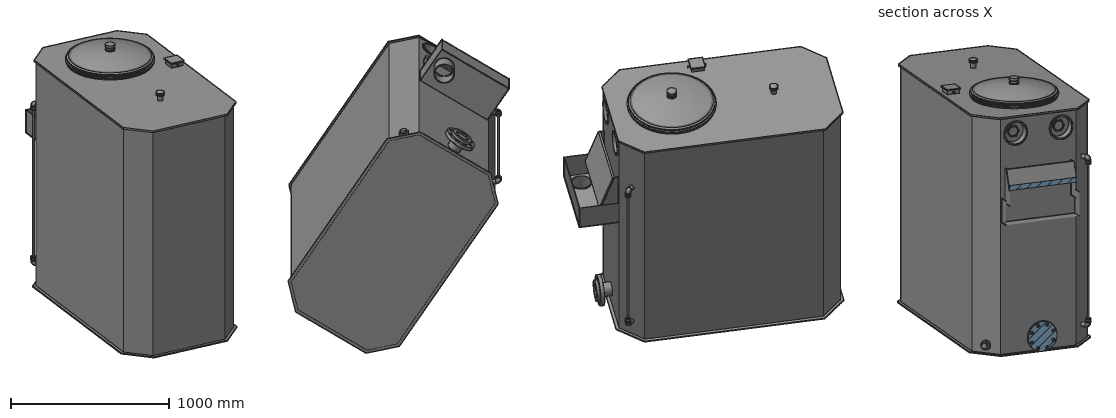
import cadquery as cq
import math

tank_length = 1420.0
tank_width = 790.0
corner_cut = 137.0
base_thickness = 7.0
base_overhang = 20.0
base_corner_cut = 152.0
top_plate_bottom = 1556.0
top_plate_thickness = 12.0
top_plate_overhang = 10.0
top_plate_corner_cut = 139.0
top_plate_shift = 4.0

tank_front_x = -tank_length / 2
top_z = top_plate_bottom + top_plate_thickness
outer_base_x = tank_length / 2 + base_overhang

port_y = 155.0
port_z = 1454.0
port_ring_diameter = 160.0
port_bore = 140.0
port_ring_thickness = 8.0
port_depth = 45.0
port_hex_corners = 81.0
port_hex_height = 10.0
port_hex_bore = 60.3
port_hex_bore_depth = 5.0

nozzle_z = 115.0
nozzle_pipe_diameter = 88.9
nozzle_pipe_length = 60.0
flange_diameter = 200.0
flange_thickness = 24.0
raised_face_diameter = 138.0
raised_face_height = 18.0
nozzle_recess_depth = 10.0
bolt_circle = 160.0
bolt_hole = 18.0
bolt_count = 8

hood_width = 460.0
hood_top_z = 1232.0
hood_bottom_z = 1000.0
hood_top_reach = 37.0
hood_bottom_reach = 122.0
hood_thickness = 13.0
gusset_thickness = 5.0
gusset_inset = 3.0

overall_length = 1695.0
trough_width = 504.0
trough_bottom_z = 876.0
trough_top_z = 1036.0
trough_sheet = 3.0
trough_front_inset = 2.0
trough_front_x = outer_base_x - overall_length
outlet_diameter = 130.0
outlet_bore = 120.0
outlet_x = -867.5
outlet_y = 173.0
outlet_bottom_z = 775.0

cover_x = -322.0
cover_clamp_diameter = 548.0
cover_groove_diameter = 536.0
cover_rib_diameter = 562.0
cover_band_height = 7.5
cover_rim_height = 44.0
cover_rim_diameter = 524.0
cover_dome_diameter = 506.0
cover_dome_height = 40.0
knob_diameter = 61.0
knob_neck_diameter = 54.6
knob_foot_top_z = 1658.0
knob_step_bottom_z = 1671.0
knob_step_diameter = 58.0
knob_head_bottom_z = 1675.0
overall_height = 1691.25

vent_x = 333.0
vent_stem_diameter = 34.0
vent_cap_diameter = 53.0
vent_groove_diameter = 48.0
vent_stem_height = 36.0
vent_foot_thickness = 4.0
vent_groove_height = 7.0
vent_cap_height = 8.0
vent_crown_height = 9.0

box_x = -95.0
box_y = 335.0
box_body_width = 82.0
box_body_height = 27.0
box_lid_width = 93.0
box_lid_height = 9.0
gland_diameter = 12.0
gland_reach = 12.0
gland_height = 12.0

wall_corner_angle = 45.0
corner_face_x = tank_front_x + corner_cut / 2
corner_face_y = tank_width / 2 - corner_cut / 2
gauge_offset = 44.0
gauge_axis_x = corner_face_x - gauge_offset / math.sqrt(2)
gauge_axis_y = -corner_face_y - gauge_offset / math.sqrt(2)
gauge_upper_z = 1222.0
gauge_lower_z = 116.0
tube_diameter = 12.0
elbow_diameter = 32.5
elbow_bend_radius = 17.0
stub_diameter = 30.0
fitting_neck_diameter = 25.0
fitting_neck_end = 24.0
fitting_first_disc_end = 27.0
fitting_body_end = 39.0
fitting_end = 43.0
tube_bottom_z = gauge_lower_z + fitting_end
tube_top_z = gauge_upper_z - fitting_end
fitting_disc_diameter = 37.0
drain_z = 60.0
drain_socket_diameter = 60.3
drain_socket_length = 18.0
drain_plug_diameter = 39.0
drain_plug_length = 32.0


def octagon(length, width, cut):
    """Rectangle centred on the origin with its four corners cut at 45 degrees."""
    return cq.Sketch().rect(length, width).vertices().chamfer(cut)


def plate_outline(overhang, cut):
    """Outline of a plate that reaches past the tank sides by the overhang."""
    return octagon(tank_length + 2 * overhang, tank_width + 2 * overhang, cut)


def stack(plane, discs):
    """Coaxial cylinders joined along the normal of a plane: (start, end, diameter)."""
    body = cq.Workplane(plane)
    for start, end, diameter in discs:
        disc = cq.Workplane(plane).workplane(offset=start).circle(diameter / 2)
        body = body.union(disc.extrude(end - start))
    return body


def dome(base_z, base_radius, height):
    """Spherical cap on the Z axis with its flat side at base_z."""
    sphere_radius = (base_radius ** 2 + height ** 2) / (2 * height)
    middle_radius = base_radius / 2
    middle_z = base_z + height - sphere_radius + math.sqrt(sphere_radius ** 2 - middle_radius ** 2)
    profile = (
        cq.Workplane("XZ")
        .moveTo(0, base_z)
        .lineTo(base_radius, base_z)
        .threePointArc((middle_radius, middle_z), (0, base_z + height))
        .close()
    )
    return profile.revolve(360, (0, 0), (0, 1))


def outward_plane(y, z):
    """Plane on the -X tank wall whose normal points away from the tank."""
    return cq.Plane(origin=(tank_front_x, y, z), xDir=(0, -1, 0), normal=(-1, 0, 0))


def tank_shell():
    wall_outline = octagon(tank_length, tank_width, corner_cut)
    base_outline = plate_outline(base_overhang, base_corner_cut)
    top_outline = plate_outline(top_plate_overhang, top_plate_corner_cut)
    shell = cq.Workplane().placeSketch(wall_outline).extrude(top_plate_bottom)
    base = cq.Workplane().placeSketch(base_outline).extrude(base_thickness)
    top = cq.Workplane(origin=(top_plate_shift, 0, top_plate_bottom))
    top = top.placeSketch(top_outline).extrude(top_plate_thickness)
    return shell.union(base).union(top)


def add_port(body, y):
    plane = outward_plane(y, port_z)
    ring = stack(plane, [(0, port_ring_thickness, port_ring_diameter)])
    bore = stack(plane, [(-port_depth, port_ring_thickness, port_bore)])
    hexagon = cq.Workplane(plane).polygon(6, port_hex_corners)
    hexagon = hexagon.extrude(port_hex_height).translate((port_depth, 0, 0))
    hex_top = port_hex_height - port_depth
    hex_bore = stack(plane, [(hex_top - port_hex_bore_depth, hex_top, port_hex_bore)])
    return body.union(ring).cut(bore).union(hexagon.cut(hex_bore))


def nozzle():
    plane = outward_plane(0, nozzle_z)
    flange_end = nozzle_pipe_length + flange_thickness
    face_end = flange_end + raised_face_height
    body = stack(plane, [
        (0, nozzle_pipe_length, nozzle_pipe_diameter),
        (nozzle_pipe_length, flange_end, flange_diameter),
        (flange_end, face_end, raised_face_diameter),
    ])
    bolts = cq.Workplane(plane).workplane(offset=nozzle_pipe_length)
    bolts = bolts.polarArray(bolt_circle / 2, 180 / bolt_count, 360, bolt_count)
    bolts = bolts.circle(bolt_hole / 2).extrude(flange_thickness)
    recess = stack(plane, [(face_end - nozzle_recess_depth, face_end, nozzle_pipe_diameter)])
    return body.cut(bolts).cut(recess)


def hood():
    top_x = tank_front_x - hood_top_reach
    bottom_x = tank_front_x - hood_bottom_reach
    panel = cq.Workplane("XZ").polyline([
        (bottom_x, hood_bottom_z),
        (top_x, hood_top_z),
        (top_x + hood_thickness, hood_top_z),
        (bottom_x + hood_thickness, hood_bottom_z),
    ]).close().extrude(hood_width / 2, both=True)
    gusset = cq.Workplane("XZ").polyline([
        (bottom_x + hood_thickness, hood_bottom_z),
        (top_x + hood_thickness, hood_top_z),
        (tank_front_x, hood_top_z),
        (tank_front_x, hood_bottom_z),
    ]).close().extrude(gusset_thickness / 2, both=True)
    gusset_y = hood_width / 2 - gusset_inset - gusset_thickness / 2
    for side in (-1, 1):
        panel = panel.union(gusset.translate((0, side * gusset_y, 0)))
    return panel


def make_tank():
    body = tank_shell()
    for side in (-1, 1):
        body = add_port(body, side * port_y)
    return body.union(nozzle()).union(hood())


def make_trough():
    length = tank_front_x - trough_front_x
    height = trough_top_z - trough_bottom_z
    corner = (trough_front_x, -trough_width / 2, trough_bottom_z)
    body = cq.Workplane(origin=corner).box(length, trough_width, height, centered=False)
    inner_width = trough_width - 2 * trough_sheet
    inner_corner = (
        trough_front_x + trough_front_inset + trough_sheet,
        -inner_width / 2,
        trough_bottom_z + trough_sheet,
    )
    body = body.cut(cq.Workplane(origin=inner_corner).box(length, inner_width, height, centered=False))
    inset_corner = (trough_front_x, -inner_width / 2, trough_bottom_z + trough_sheet)
    body = body.cut(
        cq.Workplane(origin=inset_corner).box(trough_front_inset, inner_width, height, centered=False)
    )
    outlet = cq.Plane(origin=(outlet_x, outlet_y, 0))
    floor_top = trough_bottom_z + trough_sheet
    body = body.union(stack(outlet, [(outlet_bottom_z, trough_bottom_z, outlet_diameter)]))
    return body.cut(stack(outlet, [(outlet_bottom_z, floor_top, outlet_bore)]))


def make_cover():
    bands = []
    band_bottom = top_z
    for diameter in (
        cover_clamp_diameter,
        cover_groove_diameter,
        cover_rib_diameter,
        cover_groove_diameter,
        cover_clamp_diameter,
    ):
        band_top = band_bottom + cover_band_height
        bands.append((band_bottom, band_top, diameter))
        band_bottom = band_top
    rim_top = top_z + cover_rim_height
    body = stack(cq.Plane.XY(), bands)
    rim = cq.Workplane(origin=(0, 0, band_top)).circle(cover_clamp_diameter / 2)
    rim = rim.workplane(offset=rim_top - band_top).circle(cover_rim_diameter / 2).loft(ruled=True)
    knob = stack(cq.Plane.XY(), [
        (rim_top, knob_foot_top_z, knob_diameter),
        (knob_foot_top_z, knob_step_bottom_z, knob_neck_diameter),
        (knob_step_bottom_z, knob_head_bottom_z, knob_step_diameter),
        (knob_head_bottom_z, overall_height, knob_diameter),
    ])
    body = body.union(rim).union(dome(rim_top, cover_dome_diameter / 2, cover_dome_height))
    return body.union(knob).translate((cover_x, 0, 0))


def make_vent():
    foot_bottom = top_z + vent_stem_height
    groove_bottom = foot_bottom + vent_foot_thickness
    cap_bottom = groove_bottom + vent_groove_height
    cap_top = cap_bottom + vent_cap_height
    body = stack(cq.Plane.XY(), [
        (top_z, foot_bottom, vent_stem_diameter),
        (foot_bottom, groove_bottom, vent_cap_diameter),
        (groove_bottom, cap_bottom, vent_groove_diameter),
        (cap_bottom, cap_top, vent_cap_diameter),
    ])
    body = body.union(dome(cap_top, vent_cap_diameter / 2, vent_crown_height))
    return body.translate((vent_x, 0, 0))


def make_box():
    upright = (True, True, False)
    body = cq.Workplane(origin=(box_x, box_y, top_z))
    body = body.box(box_body_width, box_body_width, box_body_height, centered=upright)
    lid = cq.Workplane(origin=(box_x, box_y, top_z + box_body_height))
    lid = lid.box(box_lid_width, box_lid_width, box_lid_height, centered=upright)
    glands = cq.Workplane("YZ", origin=(box_x, box_y, top_z + gland_height))
    glands = glands.circle(gland_diameter / 2).extrude(box_lid_width / 2 + gland_reach, both=True)
    return body.union(lid).union(glands)


def make_gauge_fitting(z, tube_side):
    """Elbow from the corner face to the tube; tube_side is -1 when the tube hangs below it."""
    bend = cq.Workplane(origin=(0, 0, elbow_bend_radius)).circle(elbow_diameter / 2)
    bend = bend.revolve(90, (elbow_bend_radius, 1), (elbow_bend_radius, 0))
    bend = bend.mirror("XY")
    stub = stack(cq.Plane.YZ(), [(elbow_bend_radius, gauge_offset, stub_diameter)])
    leg = stack(cq.Plane(origin=(0, 0, 0), normal=(0, 0, -1)), [
        (elbow_bend_radius, fitting_neck_end, fitting_neck_diameter),
        (fitting_neck_end, fitting_first_disc_end, fitting_disc_diameter),
        (fitting_first_disc_end, fitting_body_end, stub_diameter),
        (fitting_body_end, fitting_end, fitting_disc_diameter),
    ])
    fitting = bend.union(stub).union(leg)
    if tube_side > 0:
        fitting = fitting.mirror("XY")
    return fitting.rotate((0, 0, 0), (0, 0, 1), wall_corner_angle).translate((gauge_axis_x, gauge_axis_y, z))


def make_drain_plug():
    face = cq.Plane(origin=(corner_face_x, corner_face_y, drain_z), xDir=(0, 0, 1), normal=(-1, 1, 0))
    return stack(face, [
        (0, drain_socket_length, drain_socket_diameter),
        (drain_socket_length, drain_plug_length, drain_plug_diameter),
    ])


tank = make_tank()
trough = make_trough()
cover = make_cover()
vent = make_vent()
junction_box = make_box()
drain_plug = make_drain_plug()
gauge_tube = stack(
    cq.Plane(origin=(gauge_axis_x, gauge_axis_y, 0)), [(tube_bottom_z, tube_top_z, tube_diameter)]
)
gauge_fittings = []
for elbow_z, tube_side in ((gauge_upper_z, -1), (gauge_lower_z, 1)):
    gauge_fittings.append(make_gauge_fitting(elbow_z, tube_side).solids().val())

result = cq.Compound.makeCompound([
    tank.solids().val(),
    trough.solids().val(),
    cover.solids().val(),
    vent.solids().val(),
    junction_box.solids().val(),
    drain_plug.solids().val(),
    gauge_tube.solids().val(),
    *gauge_fittings,
])